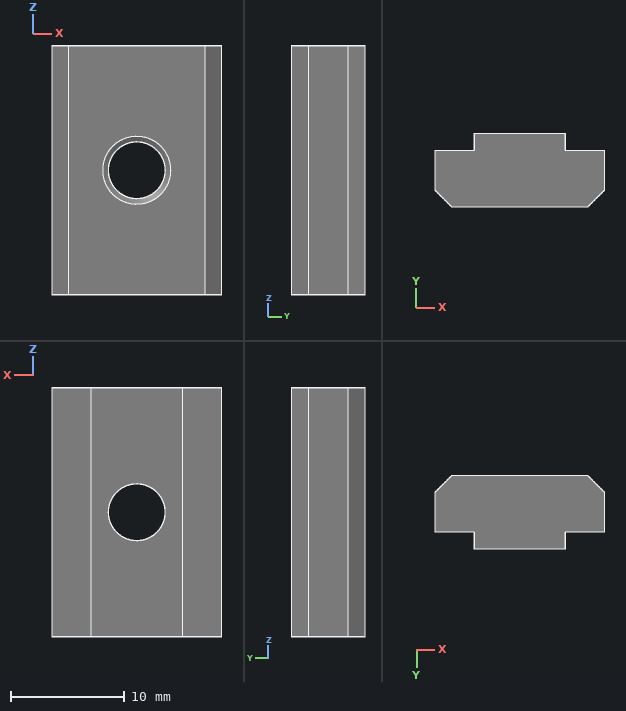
import cadquery as cq

width = 15.0
thickness = 6.5
length = 22.0

edge_chamfer = 1.5
tongue_width = 8.05
tongue_height = 1.5

hole_diameter = 5.0
lead_in_diameter = 6.0
lead_in_depth = 0.29

shoulder_y = thickness - tongue_height


def make_body():
    """Block along Z with chamfered front edges and a narrower tongue behind."""
    base = (
        cq.Workplane("XY")
        .box(width, shoulder_y, length, centered=(True, False, True))
        .faces("<Y")
        .edges("|Z")
        .chamfer(edge_chamfer)
    )
    tongue = cq.Workplane("XY").box(tongue_width, thickness, length, centered=(True, False, True))
    return base.union(tongue)


def make_hole():
    """Hole along Y, widened at the front face, as a solid of revolution."""
    hole_radius = hole_diameter / 2
    return (
        cq.Workplane("XY")
        .moveTo(0, 0)
        .lineTo(lead_in_diameter / 2, 0)
        .lineTo(hole_radius, lead_in_depth)
        .lineTo(hole_radius, thickness)
        .lineTo(0, thickness)
        .close()
        .revolve(360, (0, 0, 0), (0, 1, 0))
    )


result = make_body().cut(make_hole())